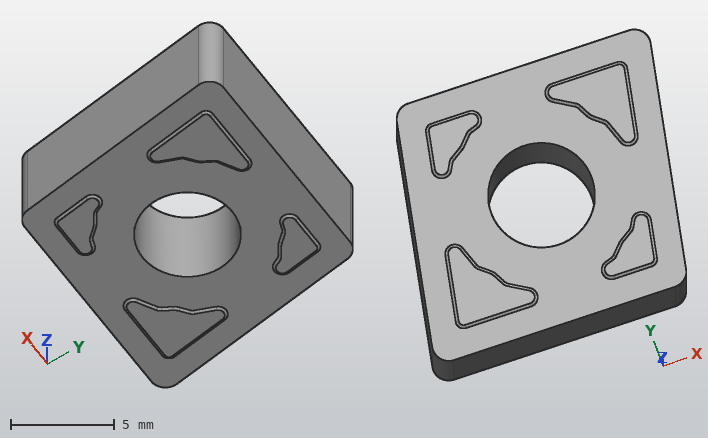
import cadquery as cq
import math

overall_length = 14.83
overall_thickness = 4.83
acute_corner_angle = 80.0
corner_radius = 0.8
hole_diameter = 5.16

pad_height = 0.09
pad_inset = 1.3
pad_slope_width = 0.15
pad_corner_radius = 0.39
pad_tip_radius = 0.47
pad_notch_radius = 0.37
pad_ridge_radius = 0.89

notch_offset = 0.8
acute_ridge_distance = 4.43
acute_notch_distance = 4.6
acute_tip_offset = 3.55
obtuse_ridge_distance = 4.42
obtuse_notch_distance = 4.52
obtuse_tip_offset = 3.95

body_thickness = overall_thickness - 2 * pad_height
acute_half_angle = acute_corner_angle / 2
obtuse_half_angle = 90 - acute_half_angle

acute_direction = acute_half_angle
obtuse_direction = acute_half_angle + 90

cot_half = 1 / math.tan(math.radians(acute_half_angle))
side_distance = (overall_length + 2 * corner_radius * (cot_half - 1)) / cot_half


def make_body():
    half_width = side_distance / 2
    half_side = half_width / math.sin(math.radians(acute_corner_angle))
    shift = half_width / math.tan(math.radians(acute_corner_angle))
    corners = [
        (half_side + shift, half_width),
        (shift - half_side, half_width),
        (-half_side - shift, -half_width),
        (half_side - shift, -half_width),
    ]
    base = cq.Workplane("XY").workplane(offset=-body_thickness / 2)
    rhombus = base.polyline(corners).close().extrude(body_thickness)
    rounded = rhombus.edges("|Z").fillet(corner_radius)
    return rounded.cut(base.circle(hole_diameter / 2).extrude(body_thickness))


def rounded_outline(points, radii):
    """Closed outline through the sharp points, each rounded with its own radius."""
    corners = [cq.Vector(*point) for point in points]
    arcs = []
    for i, (corner, radius) in enumerate(zip(corners, radii)):
        to_last = (corners[i - 1] - corner).normalized()
        to_next = (corners[(i + 1) % len(corners)] - corner).normalized()
        half_angle = to_last.getAngle(to_next) / 2
        tangent_length = radius / math.tan(half_angle)
        corner_to_arc = radius / math.sin(half_angle) - radius
        middle = corner + (to_last + to_next).normalized() * corner_to_arc
        arcs.append((corner + to_last * tangent_length, middle, corner + to_next * tangent_length))

    first_end = arcs[0][2]
    outline = cq.Workplane("XY").moveTo(first_end.x, first_end.y)
    for start, middle, end in arcs[1:] + arcs[:1]:
        outline = outline.lineTo(start.x, start.y)
        outline = outline.threePointArc((middle.x, middle.y), (end.x, end.y))
    return outline.close()


def make_pad(half_angle, ridge_distance, notch_distance, tip_offset):
    """Pad standing on Z = 0 for a corner that points along +X, mirrored about the X axis.

    Two edges run parallel to the sides of the insert. The inner edge, which faces the hole,
    has a ridge on the X axis, a notch on each side of it and ends in the two tips.
    """
    edge_distance = side_distance / 2 - pad_inset
    sine = math.sin(math.radians(half_angle))
    cosine = math.cos(math.radians(half_angle))
    corner_distance = edge_distance / sine
    tip_distance = (edge_distance - tip_offset * cosine) / sine
    points = [
        (corner_distance, 0),
        (tip_distance, tip_offset),
        (notch_distance, notch_offset),
        (ridge_distance, 0),
        (notch_distance, -notch_offset),
        (tip_distance, -tip_offset),
    ]
    radii = [
        pad_corner_radius,
        pad_tip_radius,
        pad_notch_radius,
        pad_ridge_radius,
        pad_notch_radius,
        pad_tip_radius,
    ]
    slope_angle = math.degrees(math.atan2(pad_slope_width, pad_height))
    return rounded_outline(points, radii).extrude(pad_height, taper=slope_angle)


acute_pad = make_pad(acute_half_angle, acute_ridge_distance, acute_notch_distance, acute_tip_offset)
obtuse_pad = make_pad(obtuse_half_angle, obtuse_ridge_distance, obtuse_notch_distance, obtuse_tip_offset)

result = make_body()
for pad, direction in ((acute_pad, acute_direction), (obtuse_pad, obtuse_direction)):
    for turn in (0, 180):
        top_pad = pad.rotate((0, 0, 0), (0, 0, 1), direction + turn)
        top_pad = top_pad.translate((0, 0, body_thickness / 2))
        result = result.union(top_pad).union(top_pad.mirror("XY"))